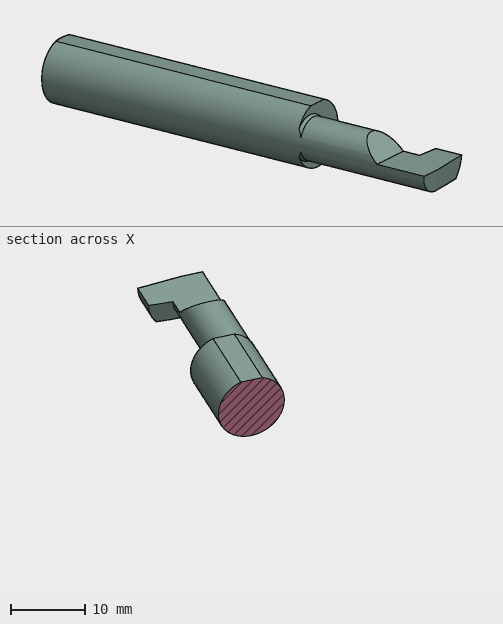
import cadquery as cq
import math

total_length = 63.5
shank_radius = 4.75
shank_length = 42.5
flat_height = 4.5
chamfer_length = 0.3
chamfer_depth = 0.45

neck_radius = 3.1
neck_y = -1.7
root_length = 0.6
root_flare = 0.2

rake_start = 55.7
wing_start = 58.35
neck_end = 60.3
relief_angle = 5.0
wing_overrun = 1.9
front_slope = math.tan(math.radians(relief_angle))


def rod(radius, start, end, y=0.0):
    """Round bar along X between two stations."""
    return cq.Workplane("YZ", origin=(start, y, 0)).circle(radius).extrude(end - start)


def make_shank():
    outline = [
        (0, 0),
        (0, shank_radius - chamfer_depth),
        (chamfer_length, shank_radius),
        (shank_length, shank_radius),
        (shank_length, 0),
    ]
    body = cq.Workplane("XY").polyline(outline).close().revolve(360, (0, 0, 0), (1, 0, 0))
    flat_cut = cq.Workplane("XY", origin=(0, 0, flat_height)).rect(
        2 * shank_length, 2 * shank_radius
    ).extrude(shank_radius)
    return body.cut(flat_cut)


def make_neck():
    flare = (
        cq.Workplane("YZ", origin=(shank_length, neck_y, 0))
        .circle(neck_radius + root_flare)
        .workplane(offset=root_length)
        .circle(neck_radius)
        .loft()
    )
    neck = rod(neck_radius, shank_length, neck_end, neck_y).union(flare)
    run_out = (
        cq.Workplane("XZ")
        .moveTo(rake_start, 0)
        .lineTo(total_length, 0)
        .lineTo(total_length, shank_radius)
        .lineTo(rake_start - shank_radius, shank_radius)
        .close()
        .extrude(shank_radius, both=True)
    )
    return neck.cut(run_out).intersect(rod(shank_radius, shank_length, total_length))


def make_head():
    wing_tip_y = shank_radius + wing_overrun
    base_y = -wing_tip_y
    neck_side_y = neck_y + neck_radius
    outline = [
        (wing_start, base_y),
        (total_length, base_y),
        (total_length, neck_y),
        (total_length - (wing_tip_y - neck_y) * front_slope, wing_tip_y),
        (wing_start + (wing_tip_y - neck_side_y) * front_slope, wing_tip_y),
        (wing_start, neck_side_y),
    ]
    blade = cq.Workplane("XY").polyline(outline).close().extrude(-neck_radius, taper=relief_angle)
    wing_section = (
        cq.Workplane("YZ", origin=(shank_length, 0, 0))
        .moveTo(neck_y, 0)
        .lineTo(shank_radius, 0)
        .lineTo(shank_radius, -neck_radius)
        .lineTo(neck_y, -neck_radius)
        .close()
        .extrude(total_length - shank_length)
    )
    envelope = rod(neck_radius, shank_length, total_length, neck_y).union(wing_section)
    return blade.intersect(envelope).intersect(rod(shank_radius, shank_length, total_length))


result = make_shank().union(make_neck()).union(make_head())